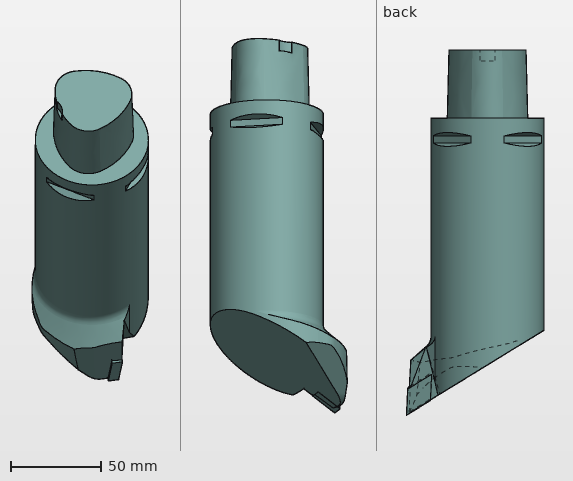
import cadquery as cq
import math

BODY_RADIUS = 63 / 2
BODY_LENGTH = 121.4
SIDE_MARGIN = 20.3

SHANK_LENGTH = 38.0
LOBE_TIP = 23.8
LOBE_OFFSET = 10.0
FLANK_CROWN = 20.3
TAPER_RATIO = 1 / 20
KEYWAY_WIDTH = 8.3
KEYWAY_DEPTH = 6.0
KEYWAY_CROWN_Y = -17.9
KEYWAY_EDGE_Y = -18.7

SLOT_COUNT = 4
SLOT_Z = -11.8
SLOT_DEPTH = 3.7
SLOT_FLOOR_WIDTH = 3.9
SLOT_MOUTH_WIDTH = 7.7

BOTTOM_Z = SHANK_LENGTH - 203.0
TIP_X = 45.0
SLANT_HIGH_Z = -117.7
SLANT_LIFT = 0.5
SLANT_SLOPE = (BOTTOM_Z + SLANT_LIFT - SLANT_HIGH_Z) / (TIP_X + BODY_RADIUS)

FLARE_ANGLE = math.radians(48.5)
FLARE_BLEND_RADIUS = 6.7
FLARE_MAX_RADIUS = 61.0
HEAD_FRONT_Y = -36.5
FLANK_Z = -134.0
FLANK_LEAN = 0.06

POCKET_TOP = cq.Vector(34.1, 7.1, -126.7)
POCKET_FOOT = cq.Vector(26.4, 2.8, -153.5)
INSERT_TIP = cq.Vector(TIP_X, 0, BOTTOM_Z)
INSERT_LENGTH = 15.8
INSERT_HEIGHT = 14.8
INSERT_CORNER_ANGLE = 55.0
INSERT_THICKNESS = 6.0


def slant_z(x):
    return SLANT_HIGH_Z + SLANT_SLOPE * (x + BODY_RADIUS)


def polar(radius, angle):
    return cq.Vector(radius * math.cos(angle), radius * math.sin(angle))


def make_shank():
    """Three lobe arcs joined tangentially by three flatter flank arcs."""
    lobe_radius = LOBE_TIP - LOBE_OFFSET
    spare = FLANK_CROWN - lobe_radius
    flank_offset = (LOBE_OFFSET**2 - spare**2) / (2 * spare - LOBE_OFFSET)
    third = 2 * math.pi / 3

    def joint(lobe_angle, flank_angle):
        lobe_centre = polar(LOBE_OFFSET, lobe_angle)
        flank_centre = polar(flank_offset, flank_angle + math.pi)
        return lobe_centre + (lobe_centre - flank_centre).normalized() * lobe_radius

    first_lobe = math.pi / 2
    outline = cq.Workplane("XY").moveTo(*joint(first_lobe, first_lobe - third / 2).toTuple()[:2])
    for index in range(3):
        lobe = first_lobe + index * third
        flank = lobe + third / 2
        outline = outline.threePointArc(polar(LOBE_TIP, lobe), joint(lobe, flank))
        outline = outline.threePointArc(polar(FLANK_CROWN, flank), joint(lobe + third, flank))
    taper_angle = math.degrees(math.atan(TAPER_RATIO / 2))
    shank = outline.close().extrude(SHANK_LENGTH, taper=taper_angle)
    keyway = (
        cq.Workplane("XY")
        .workplane(offset=SHANK_LENGTH - KEYWAY_DEPTH)
        .moveTo(-KEYWAY_WIDTH / 2, -LOBE_TIP)
        .lineTo(-KEYWAY_WIDTH / 2, KEYWAY_EDGE_Y)
        .threePointArc((0, KEYWAY_CROWN_Y), (KEYWAY_WIDTH / 2, KEYWAY_EDGE_Y))
        .lineTo(KEYWAY_WIDTH / 2, -LOBE_TIP)
        .close()
        .extrude(KEYWAY_DEPTH)
    )
    return shank.cut(keyway)


def make_gripper_slot(angle):
    """Straight slot whose upper and lower walls flare outward."""
    floor_x = BODY_RADIUS - SLOT_DEPTH
    half_floor = SLOT_FLOOR_WIDTH / 2
    half_mouth = SLOT_MOUTH_WIDTH / 2
    return (
        cq.Workplane("XZ")
        .polyline([
            (floor_x, SLOT_Z - half_floor),
            (BODY_RADIUS, SLOT_Z - half_mouth),
            (BODY_RADIUS, SLOT_Z + half_mouth),
            (floor_x, SLOT_Z + half_floor),
        ])
        .close()
        .extrude(BODY_RADIUS, both=True)
        .rotate((0, 0, 0), (0, 0, 1), angle)
    )


def make_flare():
    """Cone below the body, blended into the cylinder by a concave arc."""
    def blend_point(angle):
        return (
            BODY_RADIUS + FLARE_BLEND_RADIUS * (1 - math.cos(angle)),
            -BODY_LENGTH - FLARE_BLEND_RADIUS * math.sin(angle),
        )

    cone_x, cone_z = blend_point(FLARE_ANGLE)
    rim_z = cone_z - (FLARE_MAX_RADIUS - cone_x) / math.tan(FLARE_ANGLE)
    return (
        cq.Workplane("XZ")
        .moveTo(0, -BODY_LENGTH)
        .lineTo(BODY_RADIUS, -BODY_LENGTH)
        .threePointArc(blend_point(FLARE_ANGLE / 2), (cone_x, cone_z))
        .lineTo(FLARE_MAX_RADIUS, rim_z)
        .lineTo(FLARE_MAX_RADIUS, BOTTOM_Z)
        .lineTo(0, BOTTOM_Z)
        .close()
        .revolve(360, (0, 0), (0, 1))
    )


def make_head_outline():
    """Upright prism: rounded front, open flank side, and back edge."""
    return (
        cq.Workplane("XY")
        .workplane(offset=BOTTOM_Z)
        .moveTo(-22.3, -22.1)
        .threePointArc((-6.5, -32.9), (10.2, HEAD_FRONT_Y))
        .lineTo(16.2, HEAD_FRONT_Y)
        .threePointArc((19.5, -36.1), (22.3, -35.0))
        .threePointArc((31.9, -28.8), (40.5, -20.0))
        .lineTo(50.8, -6.0)
        .lineTo(50.8, -1.2)
        .lineTo(POCKET_TOP.x, POCKET_TOP.y)
        .lineTo(29.0, 12.0)
        .lineTo(0, 0)
        .close()
        .extrude(-BOTTOM_Z)
    )


def make_flank_limit():
    """Leaning prism that trims the clearance flanks of the head."""
    rise = FLANK_Z + BODY_LENGTH - SIDE_MARGIN
    shift = FLANK_LEAN * rise
    corners = [
        (-40.5, 40.5), (42.6, 40.5), (42.6, 3.0), (41.0, -13.2),
        (37.4, -23.8), (30.5, -40.5), (-40.5, -40.5),
    ]
    top_z = FLANK_Z - rise
    wire = cq.Wire.makePolygon(
        [cq.Vector(x + shift, y, top_z) for x, y in corners], close=True
    )
    drop = top_z - BOTTOM_Z
    return cq.Workplane(cq.Solid.extrudeLinear(wire, [], cq.Vector(FLANK_LEAN * drop, 0, -drop)))


def make_head():
    return make_flare().intersect(make_head_outline()).intersect(make_flank_limit())


def make_slant_cutter():
    start_x = -BODY_RADIUS - SIDE_MARGIN
    end_x = TIP_X + SIDE_MARGIN
    floor_z = BOTTOM_Z - 2 * SIDE_MARGIN
    return (
        cq.Workplane("XZ")
        .polyline([
            (start_x, slant_z(start_x)),
            (end_x, slant_z(end_x)),
            (end_x, floor_z),
            (start_x, floor_z),
        ])
        .close()
        .extrude(-HEAD_FRONT_Y + SIDE_MARGIN, both=True)
    )


def make_front_relief():
    """Sloping underside at the front of the head, easing off towards the tip."""
    floor_z = BOTTOM_Z - SIDE_MARGIN
    return (
        cq.Workplane("YZ")
        .moveTo(-42.6, -131.3)
        .lineTo(-18.3, -157.3)
        .threePointArc((-14.8, -160.5), (-10.5, -162.6))
        .lineTo(-7.1, -163.0)
        .lineTo(2.0, -163.0)
        .lineTo(2.0, floor_z)
        .lineTo(-42.6, floor_z)
        .close()
        .extrude(TIP_X + SIDE_MARGIN)
    )


def make_chip_pocket():
    """Skewed prism bounded by the rake plane and a leaning end wall."""
    down = POCKET_FOOT - POCKET_TOP
    along = (INSERT_TIP - POCKET_FOOT) * 2
    across = cq.Vector(2.0, SIDE_MARGIN, 0)
    corners = [POCKET_TOP, POCKET_TOP + along, POCKET_TOP + along + across, POCKET_TOP + across]
    wire = cq.Wire.makePolygon(corners, close=True)
    return cq.Workplane(cq.Solid.extrudeLinear(wire, [], down * 2))


def make_insert():
    """Rhombic plate with its face on the rake plane and a corner at the tool tip."""
    edge = (POCKET_FOOT - INSERT_TIP).normalized()
    inward = (POCKET_TOP - POCKET_FOOT).cross(edge)
    plane = cq.Plane(origin=INSERT_TIP, xDir=edge, normal=inward)
    corner = math.radians(INSERT_CORNER_ANGLE)
    upright = (INSERT_HEIGHT * math.cos(corner), -INSERT_HEIGHT * math.sin(corner))
    return (
        cq.Workplane(plane)
        .polyline([(0, 0), (INSERT_LENGTH, 0), (INSERT_LENGTH + upright[0], upright[1]), upright])
        .close()
        .extrude(INSERT_THICKNESS)
    )


def make_holder(insert):
    holder = cq.Workplane("XY").circle(BODY_RADIUS).extrude(BOTTOM_Z)
    holder = holder.union(make_shank()).union(make_head())
    for index in range(SLOT_COUNT):
        holder = holder.cut(make_gripper_slot(45 + index * 360 / SLOT_COUNT))
    holder = holder.cut(make_slant_cutter()).cut(make_front_relief()).cut(make_chip_pocket())
    return holder.cut(insert)


insert = make_insert()
holder = make_holder(insert)
result = cq.Compound.makeCompound([holder.solids().val(), insert.val()])